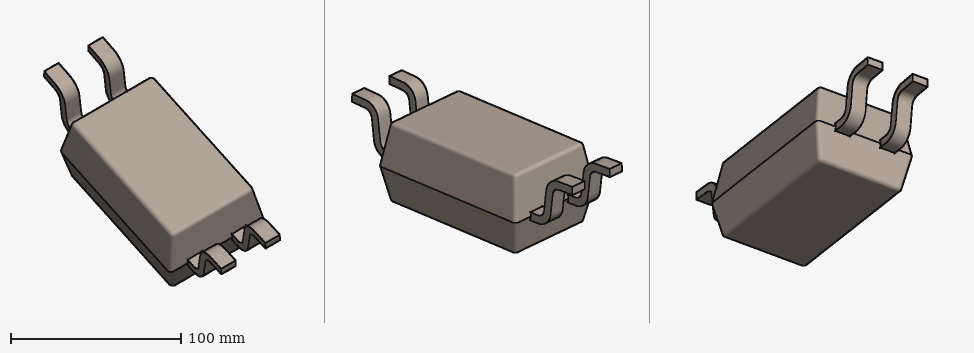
import cadquery as cq
import math

overall_length = 177.8
housing_length = 111.0
housing_width = 68.6
housing_top = 28.5
housing_bottom = 23.8
wall_inset = 4.8
edge_radius = 2.7

lead_width = 10.5
lead_thickness = 5.3
lead_pitch = 32.0
bend_radius = 7.8
lower_bend_x = 60.8
leg_length = 14.2
leg_lean = math.radians(7)
foot_rise = math.radians(2)


def make_housing_half(height):
    """Tapered half from the parting plane; a negative height builds it downwards."""
    taper = math.degrees(math.atan(wall_inset / abs(height)))
    return cq.Workplane("XY").rect(housing_length, housing_width).extrude(height, taper=taper)


def make_housing():
    """Two tapered halves with every edge rounded except the parting line."""
    upper = make_housing_half(housing_top).edges("not <Z").fillet(edge_radius)
    lower = make_housing_half(-housing_bottom).edges("not >Z").fillet(edge_radius)
    return upper.union(lower)


def make_lead(y):
    """One lead: a strip swept from the middle out to the +X tip, then mirrored."""

    def on_bend(center, angle):
        return (center[0] + bend_radius * math.cos(angle), center[1] + bend_radius * math.sin(angle))

    lower_center = (lower_bend_x, bend_radius)
    leg_start = on_bend(lower_center, -leg_lean)
    leg_end = (
        leg_start[0] + leg_length * math.sin(leg_lean),
        leg_start[1] + leg_length * math.cos(leg_lean),
    )
    upper_center = (
        leg_end[0] + bend_radius * math.cos(leg_lean),
        leg_end[1] - bend_radius * math.sin(leg_lean),
    )
    foot_start = on_bend(upper_center, math.pi / 2 + foot_rise)
    tip_x = overall_length / 2 - lead_thickness / 2 * math.sin(foot_rise)
    tip = (tip_x, foot_start[1] + (tip_x - foot_start[0]) * math.tan(foot_rise))

    path = (
        cq.Workplane("XZ", origin=(0, y, 0))
        .lineTo(lower_bend_x, 0)
        .tangentArcPoint(leg_start, relative=False)
        .lineTo(*leg_end)
        .tangentArcPoint(foot_start, relative=False)
        .lineTo(*tip)
    )
    half = cq.Workplane("YZ", origin=(0, y, 0)).rect(lead_width, lead_thickness).sweep(path)
    return half.union(half.mirror("YZ"))


leads = [make_lead(side * lead_pitch / 2) for side in (-1, 1)]

housing = make_housing()
for lead in leads:
    housing = housing.cut(lead)

result = cq.Compound.makeCompound([housing.val(), *[lead.val() for lead in leads]])